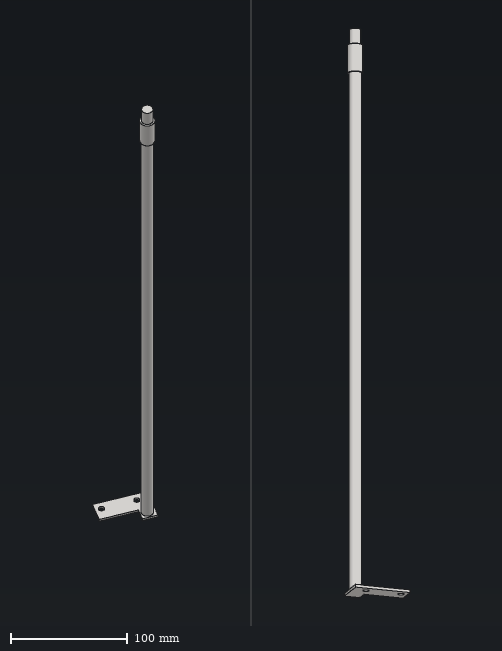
import cadquery as cq

plate_width = 30.0
plate_length = 50.0
plate_thickness = 2.6
strip_width = 19.0
tab_length = 14.5

hole_diameter = 5.0
hole_from_side = 7.25
hole_from_end = 6.0
hole_spacing = 32.0
hole_count = 2

total_height = 507.6
rod_diameter = 11.0
sleeve_diameter = 13.5
sleeve_length = 25.0
pin_diameter = 10.0
pin_length = 14.0
post_from_end = 7.75
post_x = plate_width - sleeve_diameter / 2
post_y = plate_length - post_from_end

sleeve_top = total_height - pin_length
sleeve_bottom = sleeve_top - sleeve_length


def make_plate():
    """L-shaped plate with its -X, -Y, -Z corner at the origin."""
    tab_start = plate_length - tab_length
    plate = (
        cq.Workplane("XY")
        .moveTo(0, 0)
        .lineTo(strip_width, 0)
        .lineTo(strip_width, tab_start)
        .lineTo(plate_width, tab_start)
        .lineTo(plate_width, plate_length)
        .lineTo(0, plate_length)
        .close()
        .extrude(plate_thickness)
    )
    hole_centres = [(hole_from_side, hole_from_end + i * hole_spacing) for i in range(hole_count)]
    holes = (
        cq.Workplane("XY")
        .pushPoints(hole_centres)
        .circle(hole_diameter / 2)
        .extrude(plate_thickness)
    )
    return plate.cut(holes)


def post_section(diameter, bottom, top):
    """Round section of the post between two heights."""
    return (
        cq.Workplane("XY", origin=(post_x, post_y, bottom))
        .circle(diameter / 2)
        .extrude(top - bottom)
    )


rod = post_section(rod_diameter, plate_thickness, sleeve_bottom)
sleeve = post_section(sleeve_diameter, sleeve_bottom, sleeve_top)
pin = post_section(pin_diameter, sleeve_top, total_height)

result = make_plate().union(rod).union(sleeve).union(pin)